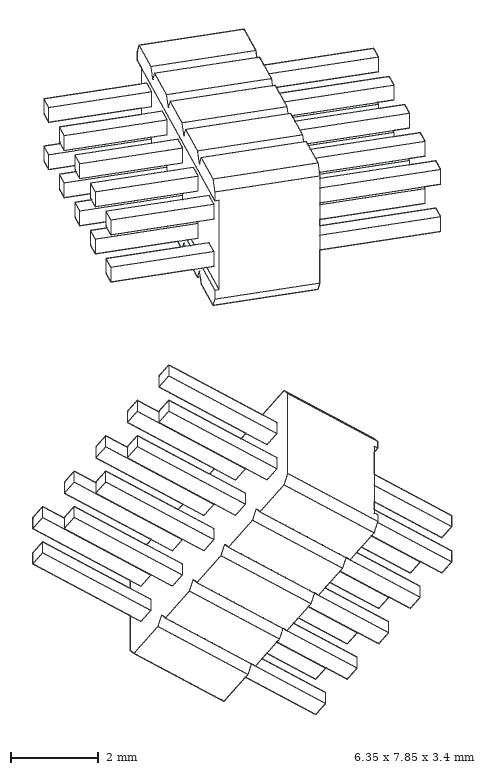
import cadquery as cq
import math

pitch = 1.27
columns = 5
rows = 2
body_height = 3.4
body_depth = 2.5
notch_half_width = 0.15
notch_half_angle = 30.0
recess_depth = 0.1
lip_height = 0.5
pin_width = 0.4
front_pin_length = 2.35
back_pin_length = 3.0

body_length = columns * pitch
notch_depth = notch_half_width / math.tan(math.radians(notch_half_angle))
recess_height = body_height - 2 * lip_height
pin_length = front_pin_length + body_depth + back_pin_length
body_front = -body_depth / 2
pin_front = body_front - front_pin_length


def make_segment(center_x):
    """One pin column of the body: a block whose four long edges are bevelled."""
    half_width = pitch / 2
    half_top = half_width - notch_half_width
    half_height = body_height / 2
    shoulder = half_height - notch_depth
    outline = [
        (-half_width, -shoulder),
        (-half_top, -half_height),
        (half_top, -half_height),
        (half_width, -shoulder),
        (half_width, shoulder),
        (half_top, half_height),
        (-half_top, half_height),
        (-half_width, shoulder),
    ]
    profile = cq.Workplane("XZ").polyline(outline).close()
    segment = profile.extrude(body_depth / 2, both=True)
    return segment.translate((center_x, 0, 0))


def make_recess():
    """Shallow channel across the front face, open at both ends."""
    channel = cq.Workplane("XY").box(body_length, recess_depth, recess_height)
    return channel.translate((0, body_front + recess_depth / 2, 0))


def make_pin(center_x, center_z):
    """Square pin running through the body along Y."""
    pin = cq.Workplane("XY").box(pin_width, pin_length, pin_width)
    return pin.translate((center_x, pin_front + pin_length / 2, center_z))


def centered_positions(count):
    """Positions of equally pitched items, centred on zero."""
    return [(index - (count - 1) / 2) * pitch for index in range(count)]


column_positions = centered_positions(columns)
body = make_segment(column_positions[0])
for x in column_positions[1:]:
    body = body.union(make_segment(x))
body = body.clean().cut(make_recess())

result = body
for x in column_positions:
    for z in centered_positions(rows):
        result = result.union(make_pin(x, z))